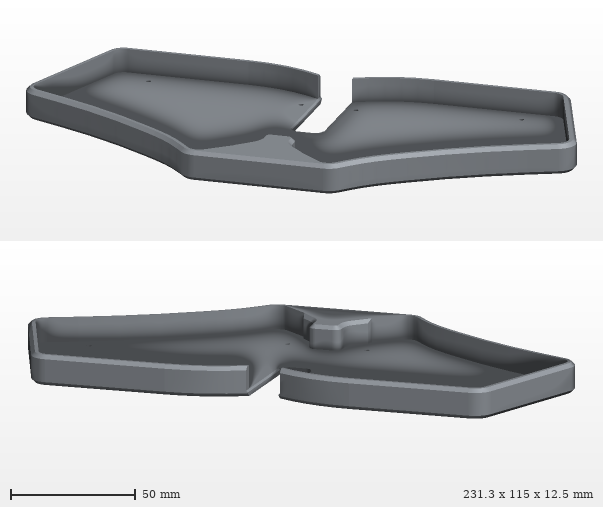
import cadquery as cq
import math

width = 231.3
depth = 115.0
height = 12.5

wall = 3.0
floor = 2.5
bevel = 1.5

corner_radius = 8.0
lower_knee_radius = 71.7
upper_knee_radius = 261.4
side_lean = math.radians(20.0)
wing_slope = math.radians(23.4)
front_corner_x = 31.0
side_corner_y = 54.1
upper_knee_x = 76.3
lower_knee = (42.5, 13.2)

rear_arc_start = 39.0
rear_arc_radius = 69.5

slot_width = 13.0
slot_bottom = 63.4
slot_flare = 0.7
slot_corner_radius = 3.0

hole_diameter = 2.0
hole_places = [(78.6, 104.0), (11.5, 95.0), (91.5, 54.4), (16.9, 26.0)]

tongue_width = 13.5
tongue_rear = 30.8
neck_y = 22.2
flank_end = (13.6, 15.3)
flank_step = (14.3, 12.3)
foot_x = 25.5
tongue_corner_radius = 3.0
neck_radius = 8.0
foot_radius = 3.7


def mirrored(points):
    """Points followed by their mirror images in reverse order."""
    return points + [(-x, y) for x, y in reversed(points)]


def upright_edges(solid, points):
    """Vertical edges standing at the points and at their mirror images."""
    reach = 0.2
    low = -height
    high = 2 * height
    picked = solid.newObject([])
    for x, y in mirrored(points):
        box = cq.selectors.BoxSelector((x - reach, y - reach, low), (x + reach, y + reach, high))
        picked = picked.add(solid.edges("|Z").edges(box))
    return picked


def outline_corners():
    """Sharp corners of the right half of the outline, from front to rear."""
    lower_normal = wing_slope - math.pi / 2
    half_turn = (side_lean - lower_normal) / 2
    corner_reach = corner_radius * math.cos((side_lean + lower_normal) / 2) / math.cos(half_turn)
    side_corner_x = width / 2 - corner_radius + corner_reach
    rear_corner_x = side_corner_x - (depth - side_corner_y) * math.tan(side_lean)
    upper_knee_y = side_corner_y - (side_corner_x - upper_knee_x) * math.tan(wing_slope)
    return [
        (front_corner_x, 0),
        lower_knee,
        (upper_knee_x, upper_knee_y),
        (side_corner_x, side_corner_y),
        (rear_corner_x, depth),
    ]


def make_blank():
    """Full-height plate with the rounded outline."""
    corners = outline_corners()
    front, knee_low, knee_high, side, rear = corners
    plate = cq.Workplane("XY").polyline(mirrored(corners)).close().extrude(height)
    plate = upright_edges(plate, [front, side, rear]).fillet(corner_radius)
    plate = upright_edges(plate, [knee_low]).fillet(lower_knee_radius)
    plate = upright_edges(plate, [knee_high]).fillet(upper_knee_radius)

    arc_centre_y = depth - rear_arc_radius
    dip = cq.Workplane("XY", origin=(0, depth, 0))
    dip = dip.rect(2 * rear_arc_start, rear_arc_radius).extrude(height)
    for side_sign in (-1, 1):
        lobe = cq.Workplane("XY", origin=(side_sign * rear_arc_start, arc_centre_y, 0))
        dip = dip.cut(lobe.circle(rear_arc_radius).extrude(height))
    return plate.cut(dip)


def make_cavity(blank):
    """Hollow of the tray, leaving the wall, the floor and the raised block."""
    outline = blank.faces("<Z").wires().val()
    cavity = (
        cq.Workplane("XY")
        .add(outline.translate((0, 0, floor)))
        .toPending()
        .offset2D(-wall)
        .extrude(height - floor)
        .cut(make_block())
    )
    return upright_edges(cavity, [(foot_x, wall)]).fillet(foot_radius)


def make_block():
    """Raised block: bevelled tongue and flanks, with plain walls on the foot."""
    tongue_corner = (tongue_width / 2, tongue_rear)
    neck = (tongue_width / 2, neck_y)
    half = [(foot_x, bevel), (foot_x, wall), flank_step, flank_end, neck, tongue_corner]
    block = cq.Workplane("XY").polyline(mirrored(half)).close().extrude(height)
    block = upright_edges(block, [tongue_corner]).fillet(tongue_corner_radius)
    block = upright_edges(block, [neck]).fillet(neck_radius)
    lead = cq.selectors.BoxSelector(
        (-flank_end[0], flank_end[1], height - bevel),
        (flank_end[0], tongue_rear + bevel, height + bevel),
    )
    return block.faces(">Z").edges(lead).chamfer(bevel)


def make_slot():
    """Slot whose long sides flare out at the top of the floor and stay wider above it."""
    slot_length = 2 * (depth - slot_bottom)
    half = slot_width / 2
    wide_half = half + slot_flare
    slot = (
        cq.Workplane("XY", origin=(0, depth, 0))
        .rect(slot_width, slot_length)
        .extrude(height)
        .edges("|Z")
        .fillet(slot_corner_radius)
    )
    flare_profile = [(half, floor - slot_flare), (wide_half, floor), (wide_half, height)]
    flare = (
        cq.Workplane("XZ", origin=(0, depth, 0))
        .polyline(mirrored(flare_profile))
        .close()
        .extrude(slot_length / 2 - slot_corner_radius)
    )
    return slot.union(flare)


def make_holes():
    """Through holes, placed symmetrically about the slot."""
    places = mirrored(hole_places)
    return cq.Workplane("XY").pushPoints(places).circle(hole_diameter / 2).extrude(height)


blank = make_blank()
bevelled = blank.faces("<Z or >Z").edges().chamfer(bevel)
tray = bevelled.cut(make_cavity(blank))
result = tray.cut(make_slot()).cut(make_holes())